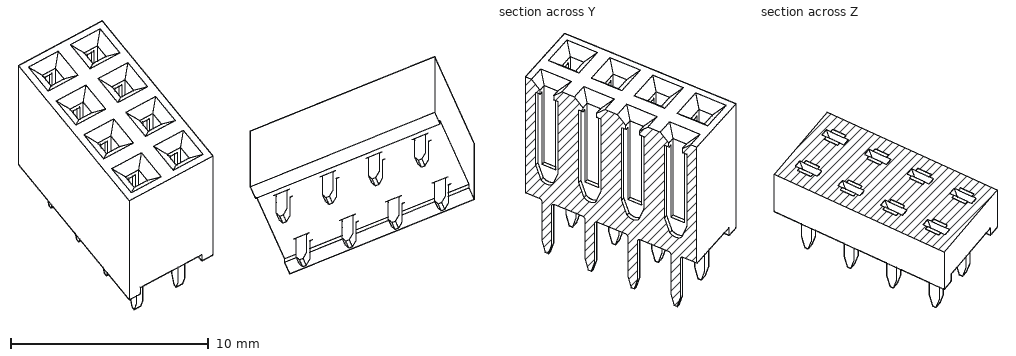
import cadquery as cq
import math

columns = 4
rows = 2
total_height = 11.5
housing_length = 10.15
housing_width = 5.08
housing_height = 8.51
pitch = housing_width / rows

foot_height = 0.54
foot_width = 0.68

mouth_side = 1.8
hole_side = 0.79
funnel_depth = (mouth_side - hole_side) / 2
socket_depth = 5.75
socket_floor = housing_height - socket_depth

pin_thickness = 0.4
slot_drop = 0.3
slot_side_relief = 0.25
cradle_half_width = 0.33
cradle_end_angle = 45.0
flank_angle = 70.0

pin_width = 0.6
pin_bottom = housing_height - total_height
tip_width = 0.2
tip_height = 0.72
root_radius = 0.14
pin_embed = 0.12

positions = [
    ((column - (columns - 1) / 2) * pitch, (row - (rows - 1) / 2) * pitch)
    for column in range(columns)
    for row in range(rows)
]


def make_housing():
    block = cq.Workplane("XY").box(
        housing_length, housing_width, housing_height, centered=(True, True, False)
    )
    channel = cq.Workplane("XY").box(
        housing_length, housing_width - 2 * foot_width, foot_height, centered=(True, True, False)
    )
    return block.cut(channel)


def make_funnel_and_hole():
    funnel = (
        cq.Workplane("XY", origin=(0, 0, housing_height))
        .rect(mouth_side, mouth_side)
        .workplane(offset=-funnel_depth)
        .rect(hole_side, hole_side)
        .loft(ruled=True)
    )
    hole = (
        cq.Workplane("XY", origin=(0, 0, socket_floor))
        .rect(hole_side, hole_side)
        .extrude(socket_depth - funnel_depth)
    )
    return funnel.union(hole)


def make_contact_slot():
    """Slot with sloping flanks and a round bottom that sinks below the socket floor."""
    half_width = hole_side / 2 + slot_side_relief
    slot_top = housing_height - funnel_depth - slot_drop
    flank_rise = (half_width - cradle_half_width) * math.tan(math.radians(flank_angle))
    cradle_edge = socket_floor - flank_rise
    cradle_sag = cradle_half_width * math.tan(math.radians(cradle_end_angle / 2))
    return (
        cq.Workplane("XZ")
        .moveTo(-half_width, slot_top)
        .lineTo(-half_width, socket_floor)
        .lineTo(-cradle_half_width, cradle_edge)
        .threePointArc((0, cradle_edge - cradle_sag), (cradle_half_width, cradle_edge))
        .lineTo(half_width, socket_floor)
        .lineTo(half_width, slot_top)
        .close()
        .extrude(pin_thickness / 2, both=True)
    )


def make_pin():
    """Flat pin with a tapered tip and a root that flares out to the channel roof."""
    half_width = pin_width / 2
    root_half_width = half_width + root_radius
    root_bottom = foot_height - root_radius
    pin_top = foot_height + pin_embed
    arc_offset = root_radius * math.sqrt(0.5)
    arc_x = root_half_width - arc_offset
    arc_z = root_bottom + arc_offset
    return (
        cq.Workplane("XZ")
        .moveTo(-tip_width / 2, pin_bottom)
        .lineTo(tip_width / 2, pin_bottom)
        .lineTo(half_width, pin_bottom + tip_height)
        .lineTo(half_width, root_bottom)
        .threePointArc((arc_x, arc_z), (root_half_width, foot_height))
        .lineTo(root_half_width, pin_top)
        .lineTo(-root_half_width, pin_top)
        .lineTo(-root_half_width, foot_height)
        .threePointArc((-arc_x, arc_z), (-half_width, root_bottom))
        .lineTo(-half_width, pin_bottom + tip_height)
        .close()
        .extrude(pin_thickness / 2, both=True)
    )


socket = make_funnel_and_hole().union(make_contact_slot())
pin = make_pin()

result = make_housing()
for x, y in positions:
    result = result.cut(socket.translate((x, y, 0)))
    result = result.union(pin.translate((x, y, 0)))